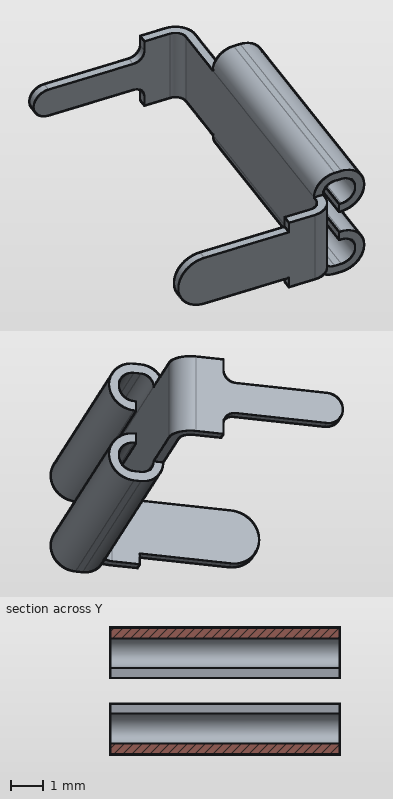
import cadquery as cq
import math

thickness = 0.31
length = 10.46
overall_height = 3.96
plate_height = 2.53
bend_radius = 0.68
shoulder_y = -1.25
tip_y = -5.07

wide_tab_height = 1.8
narrow_tab_height = 1.03
root_fillet = (wide_tab_height - narrow_tab_height) / 2

curl_length = 7.1
curl_start_x = -2.68
curl_radius = 0.8
curl_bend_radius = (overall_height - plate_height) / 2
curl_back_y = 1.74
curl_lip = 0.07


def make_strap():
    """U-shaped strip with rounded corners, including the wide leg shoulders."""
    depth = thickness - shoulder_y
    outer = cq.Workplane("XY").box(length, depth, plate_height)
    outer = outer.edges("|Z and >Y").fillet(bend_radius)
    inner = cq.Workplane("XY").box(length - 2 * thickness, depth, plate_height)
    inner = inner.edges("|Z and >Y").fillet(bend_radius - thickness)
    strap = outer.cut(inner.translate((0, -thickness, 0)))
    return strap.translate((0, thickness - depth / 2, 0))


def make_tab(height, start_x):
    """Round-ended tab running forward from a leg shoulder."""
    half = height / 2
    return (
        cq.Workplane("YZ", origin=(start_x, 0, 0))
        .moveTo(shoulder_y, -half)
        .lineTo(tip_y + half, -half)
        .threePointArc((tip_y, 0), (tip_y + half, half))
        .lineTo(shoulder_y, half)
        .close()
        .extrude(thickness)
    )


def make_root_fillet(side):
    """Concave corner between the narrow tab and its shoulder; side is +1 or -1."""
    edge_z = side * narrow_tab_height / 2
    diagonal = root_fillet * (1 - math.sqrt(0.5))
    return (
        cq.Workplane("YZ", origin=(-length / 2, 0, 0))
        .moveTo(shoulder_y, edge_z)
        .lineTo(shoulder_y - root_fillet, edge_z)
        .threePointArc(
            (shoulder_y - diagonal, edge_z + side * diagonal),
            (shoulder_y, edge_z + side * root_fillet),
        )
        .close()
        .extrude(thickness)
    )


def make_upper_curl():
    """Rolled edge: quarter bend up from the plate, short flat, then a half circle."""
    root_z = plate_height / 2
    top_z = root_z + curl_bend_radius
    bend_y = curl_bend_radius
    roll_y = curl_back_y - curl_radius
    roll_z = top_z - curl_radius
    lip_y = roll_y - curl_lip
    inner_bend = curl_bend_radius - thickness
    inner_roll = curl_radius - thickness
    outer_offset = curl_bend_radius * math.sqrt(0.5)
    inner_offset = inner_bend * math.sqrt(0.5)
    return (
        cq.Workplane("YZ", origin=(curl_start_x, 0, 0))
        .moveTo(0, root_z)
        .threePointArc((bend_y - outer_offset, root_z + outer_offset), (bend_y, top_z))
        .lineTo(roll_y, top_z)
        .threePointArc((curl_back_y, roll_z), (roll_y, roll_z - curl_radius))
        .lineTo(lip_y, roll_z - curl_radius)
        .lineTo(lip_y, roll_z - inner_roll)
        .lineTo(roll_y, roll_z - inner_roll)
        .threePointArc((roll_y + inner_roll, roll_z), (roll_y, roll_z + inner_roll))
        .lineTo(bend_y, root_z + inner_bend)
        .threePointArc((bend_y - inner_offset, root_z + inner_offset), (thickness, root_z))
        .close()
        .extrude(curl_length)
    )


result = make_strap()
result = result.union(make_tab(narrow_tab_height, -length / 2))
result = result.union(make_tab(wide_tab_height, length / 2 - thickness))
for side in (1, -1):
    result = result.union(make_root_fillet(side))

upper_curl = make_upper_curl()
result = result.union(upper_curl).union(upper_curl.mirror("XY"))